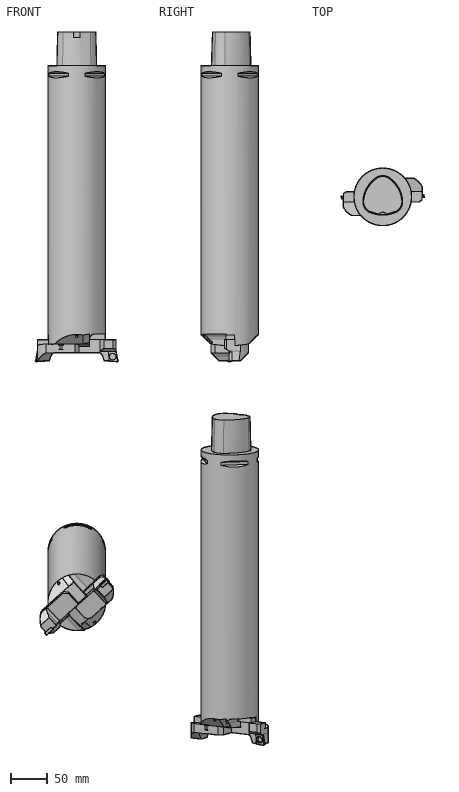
import cadquery as cq
import math

TOTAL_LENGTH = 458.0
BODY_DIAMETER = 80.0
BODY_RADIUS = BODY_DIAMETER / 2
SHOULDER_Z = 411.5

SHANK_MEAN_RADIUS = 27.5
SHANK_LOBE = 2.0
SHANK_TAPER = 0.025
LOBE_HALF_ANGLE = 20.0
KEY_DIAMETER = 10.5
KEY_CENTRE_Y = -26.5
KEY_DEPTH = 8.0

GROOVE_COUNT = 4
GROOVE_FIRST_ANGLE = 45.0
GROOVE_Z = 398.5
GROOVE_FLOOR_RADIUS = 35.3
GROOVE_FLOOR_HEIGHT = 4.0
GROOVE_MOUTH_HEIGHT = 8.5

RIDGE_Z = 21.5
CARTRIDGE_DEPTH = 26.0
ROOF_EDGE_Z = 24.7
SLOPE_TOP_Z = 38.0
SLOPE_RUN = BODY_RADIUS - CARTRIDGE_DEPTH
SLOPE_RISE = SLOPE_TOP_Z - ROOF_EDGE_Z
COOLANT_DIAMETER = 3.5
COOLANT_DEPTH = 4.5
COOLANT_Z = 35.3

POCKET_WALL_X = 18.0
POCKET_TOP_Z = 38.5
POCKET_FILLET = 7.0
POCKET_BACK_Y = -5.5
NOTCH_TOP_Z = 37.0
NOTCH_WALL_X = 39.0
NOTCH_BACK_Y = 6.5
BEVEL_WIDTH = 9.0
BEVEL_DEPTH = 3.0

CARTRIDGE_BOTTOM_Z = 12.5
INNER_END_X = -3.0
INNER_CHAMFER = 5.5
OUTER_X = 54.5
ROUND_START_X = 42.5
ROUND_MIDDLE = (52.0, 18.5)
ROUND_END = (57.0, 8.2)
NOSE_BOTTOM_Z = 1.5
NOSE_TOP_Z = 15.0
NOSE_INNER_TOP_X = 32.0
NOSE_INNER_MIDDLE = (34.5, 10.5)
NOSE_INNER_END = (35.5, 8.0)
NOSE_INNER_BOTTOM_X = 38.0
NOSE_OUTER_X = 55.5
BLOCK_TOP_Z = 30.5
BLOCK_HALF_DEPTH = 7.5
PAD_INNER_X = 38.0
PAD_BOTTOM_Z = 19.0
PAD_SIDE_RUN = 6.0
PAD_BOTTOM_RUN = 4.0
PAD_CHAMFER_X = 4.0
PAD_CHAMFER_Y = 2.7
SCREW_HOLE_DIAMETER = 5.5
SCREW_HOLE_X = 22.0
SCREW_HOLE_Y = 24.0
SCREW_HOLE_BOTTOM_Z = 17.5
SCREW_BORE_DIAMETER = 7.5
SCREW_BORE_DEPTH = 1.5

CUTTING_RADIUS = 116.0 / 2
INSERT_OUTLINE = [(44.0, 14.0), (55.0, 14.0), (57.2, 2.0), (CUTTING_RADIUS, 1.0), (57.0, 0), (45.0, 0.7)]
INSERT_FRONT_Y = -1.0
INSERT_THICKNESS = 4.0
INSERT_RELIEF = 7.0
INSERT_HOLE_DIAMETER = 9.0
INSERT_HOLE_X = 50.0
INSERT_HOLE_Z = 7.5

MARGIN = 9.0


def block(x_range, y_range, z_range):
    """Box between the given limits."""
    sizes = [end - start for start, end in (x_range, y_range, z_range)]
    corner = (x_range[0], y_range[0], z_range[0])
    return cq.Workplane("XY").box(*sizes, centered=False).translate(corner)


def half_turn(shape):
    """Copy of a shape on the opposite side of the tool axis."""
    return shape.rotate((0, 0, 0), (0, 0, 1), 180)


def lobe_point(mean_radius, degrees):
    """Point of the three-lobed outline; a lobe peaks at +Y."""
    angle = math.radians(degrees)
    along = mean_radius * math.cos(angle) + SHANK_LOBE * math.cos(2 * angle)
    across = mean_radius * math.sin(angle) - SHANK_LOBE * math.sin(2 * angle)
    return (-across, along)


def lobed_wire(mean_radius, z):
    """Closed outline of three lobe arcs and three flatter arcs."""
    outline = cq.Workplane("XY", origin=(0, 0, z))
    outline = outline.moveTo(*lobe_point(mean_radius, -LOBE_HALF_ANGLE))
    for lobe in (0, 120, 240):
        outline = outline.threePointArc(
            lobe_point(mean_radius, lobe), lobe_point(mean_radius, lobe + LOBE_HALF_ANGLE)
        )
        outline = outline.threePointArc(
            lobe_point(mean_radius, lobe + 60), lobe_point(mean_radius, lobe + 120 - LOBE_HALF_ANGLE)
        )
    return outline.close().val()


def make_shank():
    """Tapered shank with a rounded key notch in its top edge."""
    top_radius = SHANK_MEAN_RADIUS - SHANK_TAPER * (TOTAL_LENGTH - SHOULDER_Z)
    wires = [lobed_wire(SHANK_MEAN_RADIUS, SHOULDER_Z), lobed_wire(top_radius, TOTAL_LENGTH)]
    shank = cq.Workplane(cq.Solid.makeLoft(wires, True))
    notch = (
        cq.Workplane("XY", origin=(0, KEY_CENTRE_Y, TOTAL_LENGTH - KEY_DEPTH))
        .circle(KEY_DIAMETER / 2)
        .extrude(KEY_DEPTH)
    )
    return shank.cut(notch)


def make_groove():
    """Flared groove across the +X side, running along Y."""
    half_floor = GROOVE_FLOOR_HEIGHT / 2
    half_mouth = GROOVE_MOUTH_HEIGHT / 2
    return (
        cq.Workplane("XZ")
        .polyline([
            (GROOVE_FLOOR_RADIUS, GROOVE_Z - half_floor),
            (BODY_RADIUS, GROOVE_Z - half_mouth),
            (BODY_RADIUS, GROOVE_Z + half_mouth),
            (GROOVE_FLOOR_RADIUS, GROOVE_Z + half_floor),
        ])
        .close()
        .extrude(BODY_RADIUS, both=True)
    )


def make_column():
    """Round column whose lower end is a ridge between two slopes."""
    half_profile = [
        (CARTRIDGE_DEPTH, ROOF_EDGE_Z),
        (BODY_RADIUS, SLOPE_TOP_Z),
        (BODY_RADIUS, SHOULDER_Z),
    ]
    mirrored = [(-y, z) for y, z in reversed(half_profile)]
    prism = (
        cq.Workplane("YZ")
        .polyline([(0, RIDGE_Z)] + half_profile + mirrored)
        .close()
        .extrude(BODY_RADIUS, both=True)
    )
    return cq.Workplane("XY").circle(BODY_RADIUS).extrude(SHOULDER_Z).intersect(prism)


def make_chip_pocket():
    """Filleted pocket with the block's seat, the notch above it and a bevelled edge."""
    x_range = (POCKET_WALL_X, BODY_RADIUS + MARGIN)
    low_z = RIDGE_Z - MARGIN
    pocket = block(x_range, (-BODY_RADIUS - MARGIN, POCKET_BACK_Y), (low_z, POCKET_TOP_Z))
    pocket = pocket.edges("<X and >Z").fillet(POCKET_FILLET)
    seat = block(x_range, (POCKET_BACK_Y, BLOCK_HALF_DEPTH), (low_z, BLOCK_TOP_Z))
    notch = block((NOTCH_WALL_X, x_range[1]), (POCKET_BACK_Y, NOTCH_BACK_Y), (BLOCK_TOP_Z, NOTCH_TOP_Z))

    slope_foot = (POCKET_WALL_X, -CARTRIDGE_DEPTH, ROOF_EDGE_Z)
    slope = cq.Plane(slope_foot, (1, 0, 0), (0, -SLOPE_RUN, SLOPE_RISE))
    bevel = (
        cq.Workplane(slope)
        .polyline([(-BEVEL_WIDTH, 0), (0, 0), (0, BEVEL_DEPTH)])
        .close()
        .extrude(math.hypot(SLOPE_RUN, SLOPE_RISE) + MARGIN)
    )
    return pocket.union(seat).union(notch).union(bevel)


def make_coolant_hole():
    """Short hole entering the -Y slope at right angles."""
    entry_y = -CARTRIDGE_DEPTH - (COOLANT_Z - ROOF_EDGE_Z) * SLOPE_RUN / SLOPE_RISE
    face = cq.Plane((0, entry_y, COOLANT_Z), (1, 0, 0), (0, SLOPE_RISE, SLOPE_RUN))
    return cq.Workplane(face).circle(COOLANT_DIAMETER / 2).extrude(COOLANT_DEPTH)


def make_insert():
    """Cutting insert with relieved flanks: the blank without its hole, then the drilled insert."""
    plate = (
        cq.Workplane("XZ", origin=(0, INSERT_FRONT_Y, 0))
        .polyline(INSERT_OUTLINE)
        .close()
        .extrude(-INSERT_THICKNESS, taper=INSERT_RELIEF)
    )
    hole = (
        cq.Workplane("XZ", origin=(INSERT_HOLE_X, INSERT_FRONT_Y, INSERT_HOLE_Z))
        .circle(INSERT_HOLE_DIAMETER / 2)
        .extrude(-INSERT_THICKNESS)
    )
    return plate, plate.cut(hole)


def make_cartridge_base():
    """Slab with the hanging nose, rounded outside and sloped on top."""
    side = (
        cq.Workplane("XZ")
        .moveTo(INNER_END_X, BLOCK_TOP_Z)
        .lineTo(INNER_END_X, CARTRIDGE_BOTTOM_Z)
        .lineTo(NOSE_INNER_TOP_X, CARTRIDGE_BOTTOM_Z)
        .threePointArc(NOSE_INNER_MIDDLE, NOSE_INNER_END)
        .lineTo(NOSE_INNER_BOTTOM_X, NOSE_BOTTOM_Z)
        .lineTo(NOSE_OUTER_X, NOSE_BOTTOM_Z)
        .lineTo(OUTER_X, NOSE_TOP_Z)
        .lineTo(OUTER_X, BLOCK_TOP_Z)
        .close()
        .extrude(-CARTRIDGE_DEPTH)
    )
    plan = (
        cq.Workplane("XY")
        .moveTo(INNER_END_X, 0)
        .lineTo(INNER_END_X, CARTRIDGE_DEPTH - INNER_CHAMFER)
        .lineTo(INNER_END_X + INNER_CHAMFER, CARTRIDGE_DEPTH)
        .lineTo(ROUND_START_X, CARTRIDGE_DEPTH)
        .threePointArc(ROUND_MIDDLE, ROUND_END)
        .lineTo(ROUND_END[0], 0)
        .close()
        .extrude(BLOCK_TOP_Z)
    )
    nose_height = CARTRIDGE_BOTTOM_Z - NOSE_BOTTOM_Z
    end = (
        cq.Workplane("YZ", origin=(INNER_END_X, 0, 0))
        .polyline([
            (0, NOSE_BOTTOM_Z),
            (CARTRIDGE_DEPTH - nose_height, NOSE_BOTTOM_Z),
            (CARTRIDGE_DEPTH, CARTRIDGE_BOTTOM_Z),
            (CARTRIDGE_DEPTH, ROOF_EDGE_Z),
            (0, RIDGE_Z),
        ])
        .close()
        .extrude(NOSE_OUTER_X - INNER_END_X)
    )
    return side.intersect(plan).intersect(end)


def make_pad():
    """Raised outer pad with slanted inner and lower sides."""
    pad = (
        cq.Workplane("XY", origin=(0, 0, PAD_BOTTOM_Z - PAD_BOTTOM_RUN))
        .polyline([
            (PAD_INNER_X - PAD_SIDE_RUN, 0),
            (PAD_INNER_X, -BLOCK_HALF_DEPTH),
            (OUTER_X - PAD_CHAMFER_X, -BLOCK_HALF_DEPTH),
            (OUTER_X, PAD_CHAMFER_Y - BLOCK_HALF_DEPTH),
            (OUTER_X, 0),
        ])
        .close()
        .extrude(BLOCK_TOP_Z - PAD_BOTTOM_Z + PAD_BOTTOM_RUN)
    )
    underside = (
        cq.Workplane("YZ")
        .polyline([
            (0, PAD_BOTTOM_Z - PAD_BOTTOM_RUN),
            (-BLOCK_HALF_DEPTH, PAD_BOTTOM_Z),
            (-BLOCK_HALF_DEPTH, PAD_BOTTOM_Z - PAD_BOTTOM_RUN),
        ])
        .close()
        .extrude(OUTER_X)
    )
    return pad.cut(underside)


def make_screw_hole():
    """Counterbored blind hole that breaks out of the cartridge's long side."""
    centre = (SCREW_HOLE_X, SCREW_HOLE_Y)
    hole = (
        cq.Workplane("XY", origin=(*centre, SCREW_HOLE_BOTTOM_Z))
        .circle(SCREW_HOLE_DIAMETER / 2)
        .extrude(ROOF_EDGE_Z - SCREW_HOLE_BOTTOM_Z)
    )
    counterbore = (
        cq.Workplane("XY", origin=(*centre, ROOF_EDGE_Z - SCREW_BORE_DEPTH))
        .circle(SCREW_BORE_DIAMETER / 2)
        .extrude(SCREW_BORE_DEPTH)
    )
    return hole.union(counterbore)


def make_cartridge(insert_blank):
    """Cartridge on the +X side, with the seat for its insert."""
    upright = block((POCKET_WALL_X, OUTER_X), (0, BLOCK_HALF_DEPTH), (CARTRIDGE_BOTTOM_Z, BLOCK_TOP_Z))
    cartridge = make_cartridge_base().union(upright).union(make_pad())
    return cartridge.cut(make_screw_hole()).cut(insert_blank)


def make_body(cartridges):
    """Shank, column and grooves, cut away for the cartridges."""
    body = make_column().union(make_shank())
    for index in range(GROOVE_COUNT):
        angle = GROOVE_FIRST_ANGLE + index * 360 / GROOVE_COUNT
        body = body.cut(make_groove().rotate((0, 0, 0), (0, 0, 1), angle))
    for cutter in (make_chip_pocket(), make_coolant_hole()):
        body = body.cut(cutter).cut(half_turn(cutter))
    for cartridge in cartridges:
        body = body.cut(cartridge)
    return body


insert_blank, insert = make_insert()
cartridge = make_cartridge(insert_blank)
cartridges = [cartridge, half_turn(cartridge)]
inserts = [insert, half_turn(insert)]
body = make_body(cartridges)

result = cq.Compound.makeCompound([part.val() for part in [body, *cartridges, *inserts]])